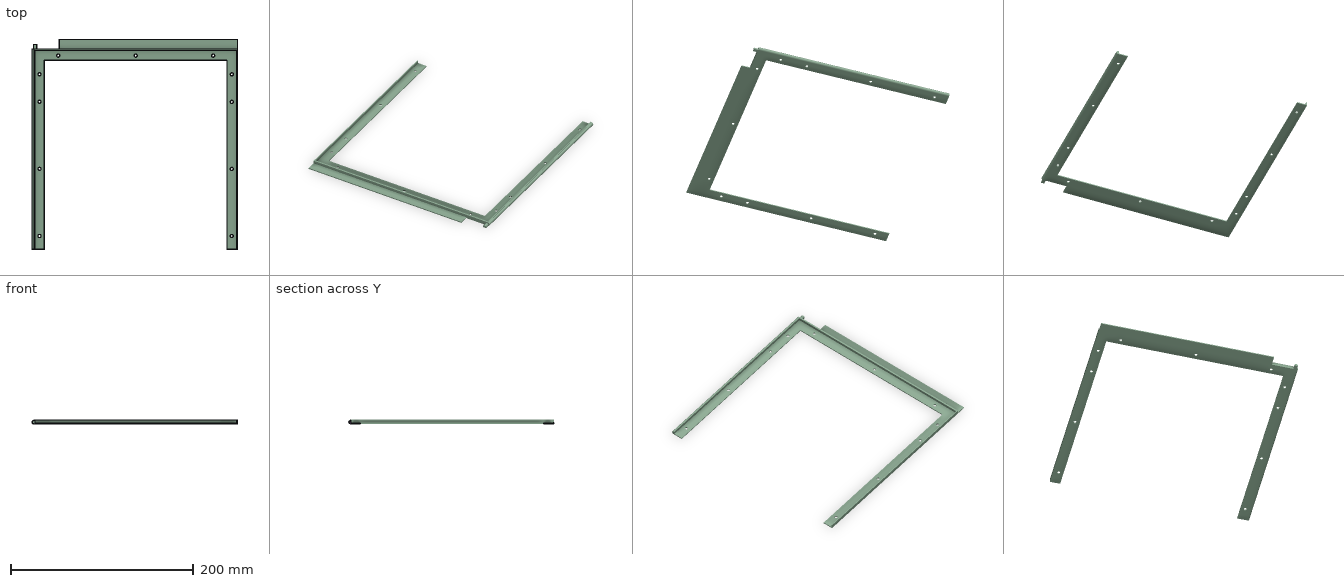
import cadquery as cq
import math

overall_width = 225.5
frame_depth = 220.0
wall_top = 4.5
sheet = 1.2

bead_radius = 2.0
frame_left = bead_radius
frame_right = overall_width
frame_middle = (frame_left + frame_right) / 2

side_strip = 11.6
back_strip = 12.6

left_wall = 1.2
right_wall = 1.0
back_wall = 1.7

flap_start = 29.8
flap_length = 10.5

peg_radius = 2.0
peg_length = 5.0
peg_x = 3.4
peg_z = 1.0

hole_diameter = 3.2
side_hole_inset = 6.25
side_hole_ys = (14.8, 88.4, 162.0, 192.2)
back_hole_inset = 7.25
back_hole_spacing = 85.0


def block(x_min, x_max, y_min, y_max, height):
    """Box standing on the bottom plane between the given limits."""
    box = cq.Workplane("XY").box(x_max - x_min, y_max - y_min, height, centered=False)
    return box.translate((x_min, y_min, 0))


def base_sheet():
    """Flat U-shaped sheet, open towards the front."""
    opening_left = frame_left + side_strip
    opening_right = frame_right - side_strip
    opening = block(opening_left, opening_right, 0, frame_depth - back_strip, sheet)
    return block(frame_left, frame_right, 0, frame_depth, sheet).cut(opening)


def left_edge():
    """Left wall with a round bead bulging from the lower part of its outer face."""
    inner_face = frame_left + left_wall
    profile = (
        cq.Workplane("XZ")
        .moveTo(inner_face, 0)
        .lineTo(frame_left, 0)
        .threePointArc((frame_left - bead_radius, bead_radius), (frame_left, 2 * bead_radius))
        .lineTo(frame_left, wall_top)
        .lineTo(inner_face, wall_top)
        .close()
    )
    return profile.extrude(-frame_depth)


def right_edge():
    """Plain wall along the right side."""
    return block(frame_right - right_wall, frame_right, 0, frame_depth, wall_top)


def back_edge():
    """Back wall, with the thin flap reaching out behind it."""
    inner_face = frame_depth - back_wall
    wall = block(frame_left, frame_right, inner_face, frame_depth, wall_top)
    flap = block(flap_start, frame_right, inner_face, frame_depth + flap_length, sheet)
    return wall.union(flap)


def peg():
    """Round pin with a flat underside, pointing backwards from the back wall."""
    half_flat = math.sqrt(peg_radius**2 - peg_z**2)
    profile = (
        cq.Workplane("XZ", origin=(0, frame_depth - back_wall, 0))
        .moveTo(peg_x - half_flat, 0)
        .threePointArc((peg_x, peg_z + peg_radius), (peg_x + half_flat, 0))
        .close()
    )
    return profile.extrude(-(back_wall + peg_length))


def screw_holes():
    """Cutters for the holes along the three strips."""
    back_y = frame_depth - back_hole_inset
    points = [(frame_middle + step * back_hole_spacing, back_y) for step in (-1, 0, 1)]
    for x in (frame_left + side_hole_inset, frame_right - side_hole_inset):
        points += [(x, y) for y in side_hole_ys]
    return cq.Workplane("XY").pushPoints(points).circle(hole_diameter / 2).extrude(sheet)


result = (
    base_sheet()
    .union(left_edge())
    .union(right_edge())
    .union(back_edge())
    .union(peg())
    .cut(screw_holes())
)